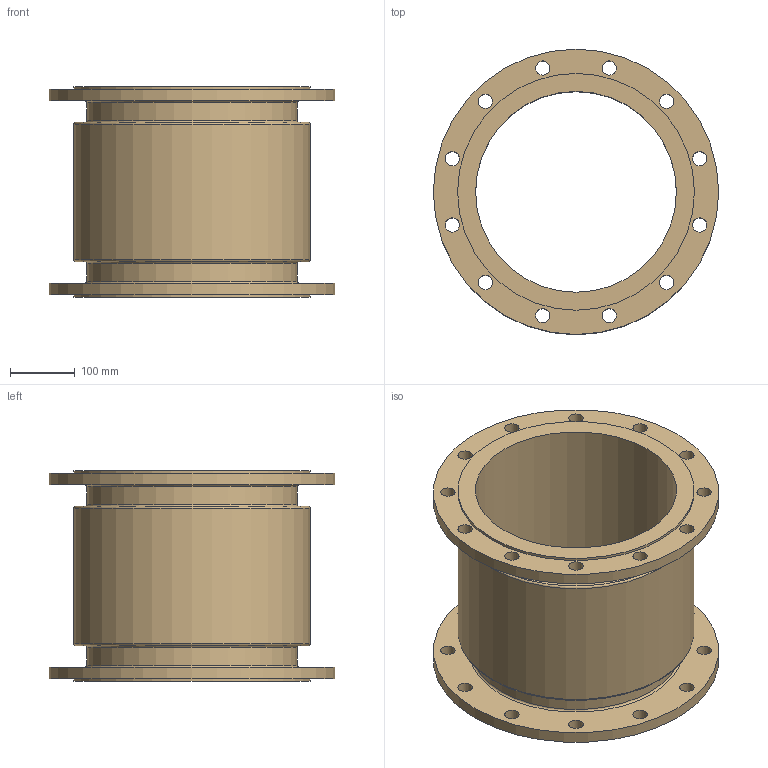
import cadquery as cq

length = 325.0
flange_diameter = 440.0

pipe_outer_diameter = 323.9
pipe_wall = 7.1
bore_diameter = pipe_outer_diameter - 2 * pipe_wall

flange_thickness = 18.0
raised_face_diameter = 365.0
raised_face_height = 4.0
flange_offset = length / 2 - raised_face_height - flange_thickness

bolt_count = 12
bolt_hole_diameter = 22.0
bolt_circle_diameter = 395.0
bolt_pitch_angle = 360.0 / bolt_count

body_diameter = 364.0
body_length = 215.0

body_edge_radius = 3.0
neck_fillet_radius = 3.0


def make_spool():
    """Pipe, body and flanges as one turned solid, bored through.

    The upper half is turned from a radial profile and turned over about the X axis for the lower half.
    """
    bore_radius = bore_diameter / 2
    neck_radius = pipe_outer_diameter / 2
    body_radius = body_diameter / 2
    body_top = body_length / 2
    upper_half = (
        cq.Workplane("XZ")
        .moveTo(bore_radius, 0)
        .lineTo(body_radius, 0)
        .lineTo(body_radius, body_top - body_edge_radius)
        .tangentArcPoint((-body_edge_radius, body_edge_radius))
        .lineTo(neck_radius + neck_fillet_radius, body_top)
        .radiusArc((neck_radius, body_top + neck_fillet_radius), neck_fillet_radius)
        .lineTo(neck_radius, flange_offset - neck_fillet_radius)
        .radiusArc((neck_radius + neck_fillet_radius, flange_offset), neck_fillet_radius)
        .lineTo(flange_diameter / 2, flange_offset)
        .lineTo(flange_diameter / 2, flange_offset + flange_thickness)
        .lineTo(raised_face_diameter / 2, flange_offset + flange_thickness)
        .lineTo(raised_face_diameter / 2, length / 2)
        .lineTo(bore_radius, length / 2)
        .close()
        .revolve(360, (0, 0, 0), (0, 1, 0))
    )
    lower_half = upper_half.rotate((0, 0, 0), (1, 0, 0), 180)
    return upper_half.union(lower_half)


def make_bolt_holes():
    """Cutters for the bolt holes, running through both flanges."""
    return (
        cq.Workplane("XY")
        .polarArray(bolt_circle_diameter / 2, bolt_pitch_angle / 2, 360, bolt_count)
        .circle(bolt_hole_diameter / 2)
        .extrude(length / 2, both=True)
    )


result = make_spool().cut(make_bolt_holes())